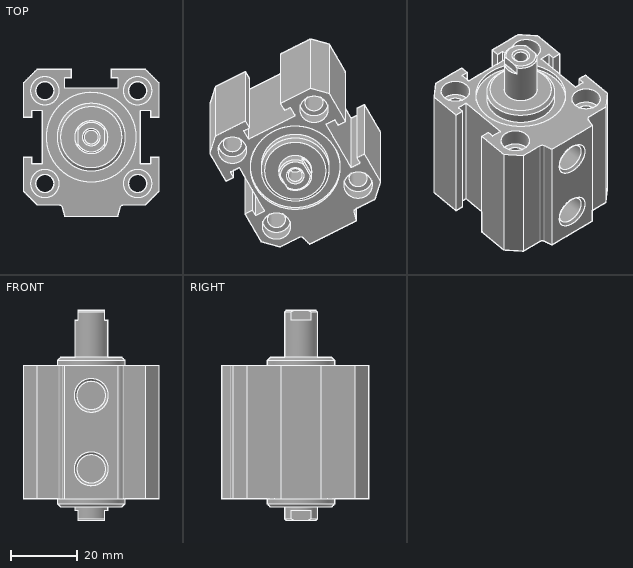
import cadquery as cq
import math

body_width = 41.0
body_height = 40.3
corner_chamfer = 4.2
half_width = body_width / 2

pad_height = 3.5
pad_face_width = 16.0
pad_flank_angle = 15
pad_root_radius = 1.0

slot_mouth_width = 12.0
slot_inner_width = 16.0
slot_lip_thickness = 2.6
slot_depth = 5.65

mount_pitch = 28.0
mount_hole_diameter = 5.4
mount_bore_diameter = 8.6
mount_bore_depth = 5.5

recess_diameter = 27.1
recess_depth = 1.5
boss_diameter = 20.5
boss_projection = 2.5
boss_chamfer = 1.0

port_end_distance = 9.1
port_diameter = 8.6
port_depth = 8.0
port_chamfer = 0.8

rod_diameter = 10.0
rod_length = 63.5
rod_upper_projection = 16.65
rod_end_chamfer = 0.5
flat_width = 8.0
flat_length = 3.0
rod_hole_diameter = 4.1
rod_hole_mouth_diameter = 5.3
rod_hole_depth = 8.0
rod_hole_mouth_angle = 90


def make_profile():
    """Extruded body: chamfered square with the tapered port pad on -Y."""
    square = (
        cq.Workplane("XY")
        .rect(body_width, body_width)
        .extrude(body_height)
        .edges("|Z")
        .chamfer(corner_chamfer)
    )
    face_half = pad_face_width / 2
    root_half = face_half + pad_height * math.tan(math.radians(pad_flank_angle))
    pad_face_y = -half_width - pad_height
    pad = (
        cq.Workplane("XY")
        .polyline(
            [
                (-root_half, -half_width),
                (-face_half, pad_face_y),
                (face_half, pad_face_y),
                (root_half, -half_width),
                (root_half, 0),
                (-root_half, 0),
            ]
        )
        .close()
        .extrude(body_height)
    )
    profile = square.union(pad)
    for side in (-1, 1):
        root_point = (side * root_half, -half_width, body_height / 2)
        profile = profile.edges(cq.NearestToPointSelector(root_point)).fillet(pad_root_radius)
    return profile


def make_t_slot(angle):
    """T-slot cutter on the +Y face, turned about Z by the given angle."""
    mouth = cq.Workplane("XY").box(
        slot_mouth_width, slot_depth, body_height, centered=(True, False, False)
    )
    inner = cq.Workplane("XY").box(
        slot_inner_width, slot_depth - slot_lip_thickness, body_height, centered=(True, False, False)
    )
    slot = mouth.union(inner).translate((0, half_width - slot_depth, 0))
    return slot.rotate((0, 0, 0), (0, 0, 1), angle)


def make_mount_holes():
    """Four through holes, counterbored at both ends."""

    def drill(diameter, bottom, height):
        return (
            cq.Workplane("XY", origin=(0, 0, bottom))
            .rect(mount_pitch, mount_pitch, forConstruction=True)
            .vertices()
            .circle(diameter / 2)
            .extrude(height)
        )

    through = drill(mount_hole_diameter, 0, body_height)
    lower_bores = drill(mount_bore_diameter, 0, mount_bore_depth)
    upper_bores = drill(mount_bore_diameter, body_height - mount_bore_depth, mount_bore_depth)
    return through.union(lower_bores).union(upper_bores)


def make_port(z):
    """Blind port with a chamfered mouth, bored in +Y from the pad face."""
    radius = port_diameter / 2
    mouth_radius = radius + port_chamfer
    return (
        cq.Workplane("XY")
        .polyline(
            [
                (0, 0),
                (mouth_radius, 0),
                (radius, port_chamfer),
                (radius, port_depth),
                (0, port_depth),
            ]
        )
        .close()
        .revolve(360, (0, 0), (0, 1))
        .translate((0, -half_width - pad_height, z))
    )


def make_housing():
    """Cylinder body with its end bosses, bored through for the rod."""
    housing = make_profile()
    for angle in (-90, 0, 90):
        housing = housing.cut(make_t_slot(angle))
    housing = housing.cut(make_mount_holes())

    for recess_floor in (0, body_height - recess_depth):
        recess = (
            cq.Workplane("XY", origin=(0, 0, recess_floor))
            .circle(recess_diameter / 2)
            .extrude(recess_depth)
        )
        housing = housing.cut(recess)

    boss = (
        cq.Workplane("XY", origin=(0, 0, -boss_projection))
        .circle(boss_diameter / 2)
        .extrude(body_height + 2 * boss_projection)
        .faces("<Z or >Z")
        .chamfer(boss_chamfer)
    )
    housing = housing.union(boss)

    for z in (port_end_distance, body_height - port_end_distance):
        housing = housing.cut(make_port(z))

    rod_bore = (
        cq.Workplane("XY", origin=(0, 0, -boss_projection))
        .circle(rod_diameter / 2)
        .extrude(body_height + 2 * boss_projection)
    )
    return housing.cut(rod_bore)


def make_rod():
    """Through rod with two wrench flats and a chamfered blind hole at each end."""
    rod_top = body_height + rod_upper_projection
    rod_bottom = rod_top - rod_length
    rod = (
        cq.Workplane("XY", origin=(0, 0, rod_bottom))
        .circle(rod_diameter / 2)
        .extrude(rod_length)
        .faces("<Z or >Z")
        .chamfer(rod_end_chamfer)
    )

    flat_depth = (rod_diameter - flat_width) / 2
    flat_offset = (flat_width + flat_depth) / 2
    for end_z in (rod_bottom + flat_length / 2, rod_top - flat_length / 2):
        for side in (-1, 1):
            flat = cq.Workplane("XY").box(flat_depth, rod_diameter, flat_length)
            rod = rod.cut(flat.translate((side * flat_offset, 0, end_z)))

    for face in (">Z", "<Z"):
        rod = (
            rod.faces(face)
            .workplane(centerOption="CenterOfBoundBox")
            .cskHole(rod_hole_diameter, rod_hole_mouth_diameter, rod_hole_mouth_angle, rod_hole_depth)
        )
    return rod


housing = make_housing()
rod = make_rod()
result = cq.Compound.makeCompound([housing.val(), rod.val()])